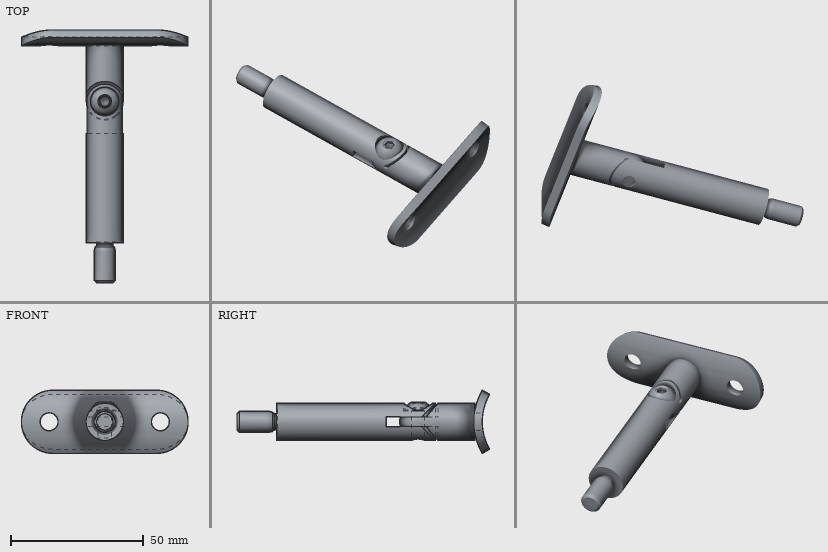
import cadquery as cq
import math


overall_length = 95.5
rod_diameter = 14.0

plate_length = 63.0
plate_height = 24.0
plate_thickness = 3.2
plate_front_radius = 24.0
plate_front_y = 21.0
plate_hole_diameter = 6.7
plate_hole_spacing = 42.0

stub_end_y = 21.4
tongue_thickness = 3.7
slot_floor_y = -12.0
fork_tip_y = 6.5
socket_radius = 7.5
fork_end_y = -53.4
fork_end_dish_depth = 0.34

screw_radius = 2.5
screw_end_z = -6.2
head_radius = 5.25
counterbore_radius = 5.4
head_seat_z = 4.0
head_rim_height = 0.4
head_top_z = 7.45
head_flat_radius = 2.6
head_bulge_radius = 4.3
head_bulge_z = 6.1
socket_flats = 3.6
socket_depth = 2.1
socket_floor_cone_depth = 1.0
socket_chamfer = 0.5

stud_radius = 4.0
neck_radius = 3.1
neck_length = 0.9
shoulder_length = 1.6
stud_tip_chamfer = 1.0
shoulder_round = 0.3
shoulder_round_length = 1.5

rod_radius = rod_diameter / 2
plate_axis_y = plate_front_y + plate_front_radius
plate_edge_angle = math.asin(plate_height / 2 / plate_front_radius)
plate_back_radius = plate_front_radius - plate_thickness
plate_back_y = plate_axis_y - plate_back_radius * math.cos(plate_edge_angle)
dish_floor_y = fork_end_y + fork_end_dish_depth
shoulder_y = fork_end_y - shoulder_length
stud_tip_y = plate_back_y - overall_length


def rod(start_y, end_y, radius):
    """Round bar along Y from start_y up to end_y."""
    return cq.Workplane("XZ", origin=(0, start_y, 0)).circle(radius).extrude(start_y - end_y)


def upright(radius, bottom_z, top_z, center_y=0.0):
    """Round bar along Z."""
    return cq.Workplane("XY", origin=(0, center_y, bottom_z)).circle(radius).extrude(top_z - bottom_z)


def make_plate():
    """Slot-shaped plate bent round an X axis, with edges square to the bent faces."""
    bend = (
        cq.Workplane("YZ", origin=(-plate_length, plate_axis_y, 0))
        .circle(plate_front_radius)
        .extrude(2 * plate_length)
    )
    outline = (
        cq.Workplane("XZ", origin=(0, plate_axis_y, 0))
        .slot2D(plate_length, plate_height)
        .extrude(2 * plate_front_radius)
    )
    front_face = bend.intersect(outline).faces("%CYLINDER").faces("<Y").val()
    plate = cq.Workplane(front_face.thicken(-plate_thickness))
    holes = (
        cq.Workplane("XZ", origin=(0, plate_axis_y, 0))
        .rarray(plate_hole_spacing, 1, 2, 1)
        .circle(plate_hole_diameter / 2)
        .extrude(2 * plate_front_radius)
    )
    return plate.cut(holes)


def make_tongue_blank():
    """Flat tongue zone, wide enough to cover the rod, from the slot floor to the stub."""
    length = stub_end_y - slot_floor_y
    return cq.Workplane("XY", origin=(0, slot_floor_y + length / 2, 0)).box(
        4 * rod_radius, length, tongue_thickness
    )


def make_stub(plate):
    """Rod welded to the plate, ending in a flat tongue with a spherical nose at the hinge."""
    stub = rod(0, stub_end_y, rod_radius).union(cq.Workplane("XY").sphere(rod_radius))
    socket = upright(socket_radius, -2 * rod_radius, 2 * rod_radius).cut(make_tongue_blank())
    pin_hole = upright(screw_radius, -rod_radius, rod_radius)
    return stub.cut(socket).cut(pin_hole).cut(plate)


def make_fork():
    """Slotted rod with rounded tips and a counterbored screw hole; its far end is slightly dished."""
    tip_center_y = fork_tip_y - rod_radius
    fork = rod(fork_end_y, tip_center_y, rod_radius)
    tip = upright(rod_radius, -rod_radius, rod_radius, tip_center_y)
    fork = fork.union(tip.intersect(rod(fork_end_y, fork_tip_y, rod_radius)))
    fork = fork.cut(make_tongue_blank())
    fork = fork.cut(upright(screw_radius, -2 * rod_radius, 2 * rod_radius))
    fork = fork.cut(upright(counterbore_radius, head_seat_z, 2 * rod_radius))
    end_dish = cq.Workplane(
        cq.Solid.makeCone(
            rod_radius, neck_radius, fork_end_dish_depth,
            cq.Vector(0, fork_end_y, 0), cq.Vector(0, 1, 0),
        )
    )
    return fork.cut(end_dish)


def make_screw():
    """Button-head screw with a hexagon socket that has a countersunk mouth and a conical floor."""
    screw = (
        cq.Workplane("XZ")
        .moveTo(0, screw_end_z)
        .lineTo(screw_radius, screw_end_z)
        .lineTo(screw_radius, head_seat_z)
        .lineTo(head_radius, head_seat_z)
        .lineTo(head_radius, head_seat_z + head_rim_height)
        .threePointArc((head_bulge_radius, head_bulge_z), (head_flat_radius, head_top_z))
        .lineTo(0, head_top_z)
        .close()
        .revolve(360, (0, 0), (0, 1))
    )
    socket_corners = socket_flats / math.cos(math.pi / 6)
    socket = (
        cq.Workplane("XY", origin=(0, 0, head_top_z))
        .polygon(6, socket_corners)
        .extrude(-socket_depth)
    )
    mouth = cq.Workplane(
        cq.Solid.makeCone(
            head_flat_radius - socket_chamfer, head_flat_radius, socket_chamfer,
            cq.Vector(0, 0, head_top_z - socket_chamfer),
        )
    )
    floor_cone = cq.Workplane(
        cq.Solid.makeCone(
            socket_flats / 2, 0, socket_floor_cone_depth,
            cq.Vector(0, 0, head_top_z - socket_depth), cq.Vector(0, 0, -1),
        )
    )
    return screw.cut(socket).cut(mouth).cut(floor_cone)


def make_stud():
    """Threaded stud with an undercut neck on the floor of the fork's end dish and a chamfered tip."""
    neck_end_y = fork_end_y - neck_length
    return (
        cq.Workplane("XY")
        .moveTo(0, dish_floor_y)
        .lineTo(neck_radius, dish_floor_y)
        .lineTo(neck_radius, neck_end_y)
        .lineTo(stud_radius - shoulder_round, shoulder_y)
        .threePointArc(
            (stud_radius - shoulder_round / 4, shoulder_y - shoulder_round_length / 2),
            (stud_radius, shoulder_y - shoulder_round_length),
        )
        .lineTo(stud_radius, stud_tip_y + stud_tip_chamfer)
        .lineTo(stud_radius - stud_tip_chamfer, stud_tip_y)
        .lineTo(0, stud_tip_y)
        .close()
        .revolve(360, (0, 0), (0, 1))
    )


plate = make_plate()
stub = make_stub(plate)
fork = make_fork()
screw = make_screw()
stud = make_stud()

result = cq.Compound.makeCompound([plate.val(), stub.val(), fork.val(), screw.val(), stud.val()])